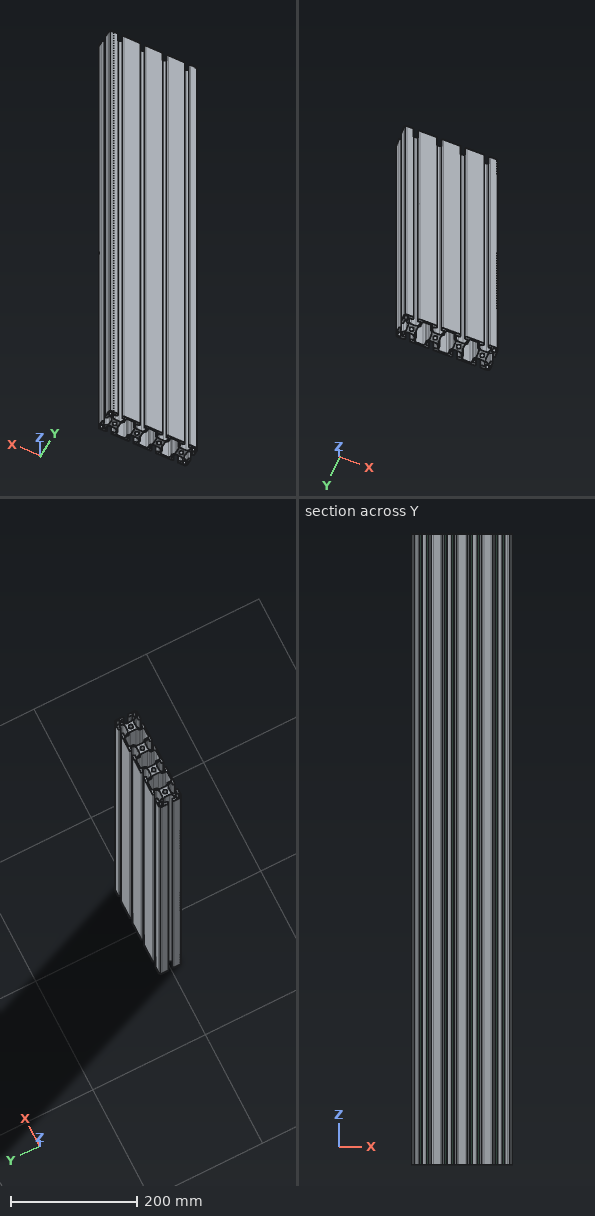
import cadquery as cq
import math

length = 1000.0
cell = 40.0
cell_count = 4
outer_corner_radius = 4.0
core_half = 7.6
bore_diameter = 6.8

mouth_half = 3.9
mouth_radius = 1.6
lip_thickness = 4.7
lip_radius = 1.8
slot_half = 9.4
lip_root_thickness = 3.7
lip_root_radius = 1.3
shoulder_depth = 6.0
shoulder_radius = 1.3
floor_half = 7.5
floor_radius = 5.3

shell_thickness = 2.3
chamber_neck_half = 8.7
waist_lower = 6.5
waist_upper = 9.8
waist_lower_radius = 4.3
waist_upper_radius = 1.5
chamber_end_radius = 2.8

corner_hole_side = 6.1
corner_hole_wall = 2.1

half_cell = cell / 2
half_width = cell * cell_count / 2
cell_centers = [(i + 0.5) * cell - half_width for i in range(cell_count)]
joint_positions = [x + half_cell for x in cell_centers[:-1]]


def rounded_prism(corners):
    """Prism of the full length from (x, y, radius) corners, each rounded by its radius."""
    vertices = [cq.Vector(x, y) for x, y, _ in corners]
    arcs = []
    for i, (_, _, radius) in enumerate(corners):
        vertex = vertices[i]
        to_previous = (vertices[i - 1] - vertex).normalized()
        to_next = (vertices[(i + 1) % len(vertices)] - vertex).normalized()
        half_angle = to_previous.getAngle(to_next) / 2
        bisector = (to_previous + to_next).normalized()
        tangent_length = radius / math.tan(half_angle)
        middle_distance = radius / math.sin(half_angle) - radius
        start = vertex + to_previous * tangent_length
        middle = vertex + bisector * middle_distance
        end = vertex + to_next * tangent_length
        arcs.append([point.toTuple()[:2] for point in (start, middle, end)])

    outline = cq.Workplane("XY").moveTo(*arcs[0][2])
    for start, middle, end in arcs[1:] + arcs[:1]:
        outline = outline.lineTo(*start).threePointArc(middle, end)
    return outline.close().extrude(length)


def slot_corners():
    """T-slot corners for a slot opening toward +Y, from its left lip to its right lip."""
    right = [
        (floor_half, core_half, floor_radius),
        (slot_half, half_cell - shoulder_depth, shoulder_radius),
        (slot_half, half_cell - lip_root_thickness, lip_root_radius),
        (mouth_half, half_cell - lip_thickness, lip_radius),
        (mouth_half, half_cell, mouth_radius),
    ]
    return [(-x, y, r) for x, y, r in reversed(right)] + right


def outer_corners():
    """Outer profile corners, clockwise from the top left."""
    slot = slot_corners()
    upper = [(-half_width, half_cell, outer_corner_radius)]
    for center in cell_centers:
        upper += [(center + x, y, r) for x, y, r in slot]
    upper.append((half_width, half_cell, outer_corner_radius))
    upper += [(cell_centers[-1] + y, -x, r) for x, y, r in slot]
    return upper + [(-x, -y, r) for x, y, r in upper]


def chamber(center):
    """Hollow chamber centred on the joint between two cells."""
    quarter = [
        (half_cell - core_half, waist_lower, waist_lower_radius),
        (chamber_neck_half, waist_upper, waist_upper_radius),
        (chamber_neck_half, half_cell - shell_thickness, chamber_end_radius),
    ]
    upper = quarter + [(-x, y, r) for x, y, r in reversed(quarter)]
    corners = upper + [(-x, -y, r) for x, y, r in upper]
    return rounded_prism([(center + x, y, r) for x, y, r in corners])


def core_bores():
    centers = [(x, 0) for x in cell_centers]
    return cq.Workplane("XY").pushPoints(centers).circle(bore_diameter / 2).extrude(length)


def corner_holes():
    inset = corner_hole_wall + corner_hole_side / 2
    x = half_width - inset
    y = half_cell - inset
    centers = [(x, y), (-x, y), (-x, -y), (x, -y)]
    holes = cq.Workplane("XY").pushPoints(centers).rect(corner_hole_side, corner_hole_side)
    return holes.extrude(length)


profile = rounded_prism(outer_corners())
for joint in joint_positions:
    profile = profile.cut(chamber(joint))
profile = profile.cut(core_bores()).cut(corner_holes())

result = profile